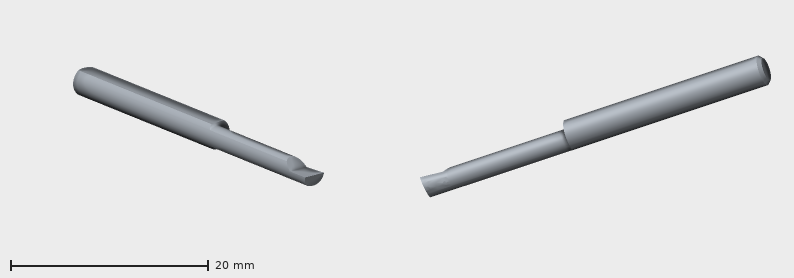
import cadquery as cq
import math

total_length = 38.1
shank_diameter = 3.15
shank_radius = shank_diameter / 2
shank_length = 21.87
overall_height = 2.9
rear_chamfer = 0.4

neck_radius = 1.15
neck_offset = -0.57
root_fillet = 0.57

flare_start = 35.25
flare_width = 0.3
rake_height = 0.05
rake_start = 35.62
ramp_angle = 45.0
end_relief_angle = 10.0


def make_shank():
    """Round shank with a chamfered rear end."""
    shank = cq.Workplane("YZ").circle(shank_radius).extrude(shank_length)
    return shank.faces("<X").chamfer(rear_chamfer)


def make_flat_cut():
    """Material removed above the flat along the top of the shank."""
    flat_height = overall_height - shank_radius
    return (
        cq.Workplane("XY")
        .box(total_length, shank_diameter, shank_diameter, centered=(False, True, False))
        .translate((0, 0, flat_height))
    )


def make_neck():
    """Eccentric neck, revolved about its own axis with a concave root."""
    root_end = shank_length + root_fillet
    root_radius = neck_radius + root_fillet
    arc_reach = root_fillet * math.sqrt(0.5)
    return (
        cq.Workplane("XY")
        .moveTo(shank_length, 0)
        .lineTo(shank_length, root_radius)
        .threePointArc((root_end - arc_reach, root_radius - arc_reach), (root_end, neck_radius))
        .lineTo(total_length, neck_radius)
        .lineTo(total_length, 0)
        .close()
        .revolve(360, (0, 0), (1, 0))
        .translate((0, neck_offset, 0))
    )


def make_flare():
    """Neck section drifting towards +Y to form the cutting corner."""
    return (
        cq.Workplane("YZ", origin=(flare_start, neck_offset, 0))
        .circle(neck_radius)
        .workplane(offset=total_length - flare_start)
        .center(flare_width, 0)
        .circle(neck_radius)
        .loft(ruled=True)
    )


def make_tip_cut():
    """Material removed above the cutting face and in front of the end face."""
    top = shank_diameter
    bottom = -shank_diameter
    ramp_run = (top - rake_height) / math.tan(math.radians(ramp_angle))
    relief_run = (rake_height - bottom) * math.tan(math.radians(end_relief_angle))
    clear_end = total_length + shank_diameter
    return (
        cq.Workplane("XZ")
        .polyline([
            (rake_start - ramp_run, top),
            (rake_start, rake_height),
            (total_length, rake_height),
            (total_length - relief_run, bottom),
            (clear_end, bottom),
            (clear_end, top),
        ])
        .close()
        .extrude(shank_diameter, both=True)
    )


envelope = cq.Workplane("YZ").circle(shank_radius).extrude(total_length)
cutter = make_neck().union(make_flare()).intersect(envelope)

result = make_shank().union(cutter).cut(make_flat_cut()).cut(make_tip_cut()).clean()